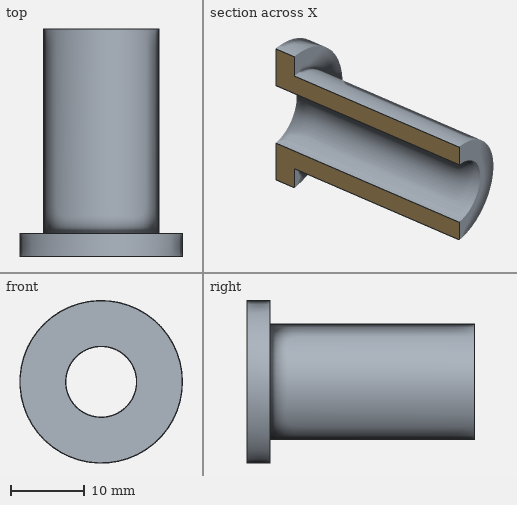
import cadquery as cq

FLANGE_DIAMETER = 22.225
FLANGE_THICKNESS = 3.175
SLEEVE_DIAMETER = 15.748
BORE_DIAMETER = 9.652
TOTAL_LENGTH = 31.115


def cylinder_along_y(diameter, length):
    """Solid cylinder that starts at Y = 0 and runs toward +Y."""
    return cq.Workplane("XZ").circle(diameter / 2).extrude(-length)


flange = cylinder_along_y(FLANGE_DIAMETER, FLANGE_THICKNESS)
sleeve = cylinder_along_y(SLEEVE_DIAMETER, TOTAL_LENGTH)
bore = cylinder_along_y(BORE_DIAMETER, TOTAL_LENGTH)

result = flange.union(sleeve).cut(bore)